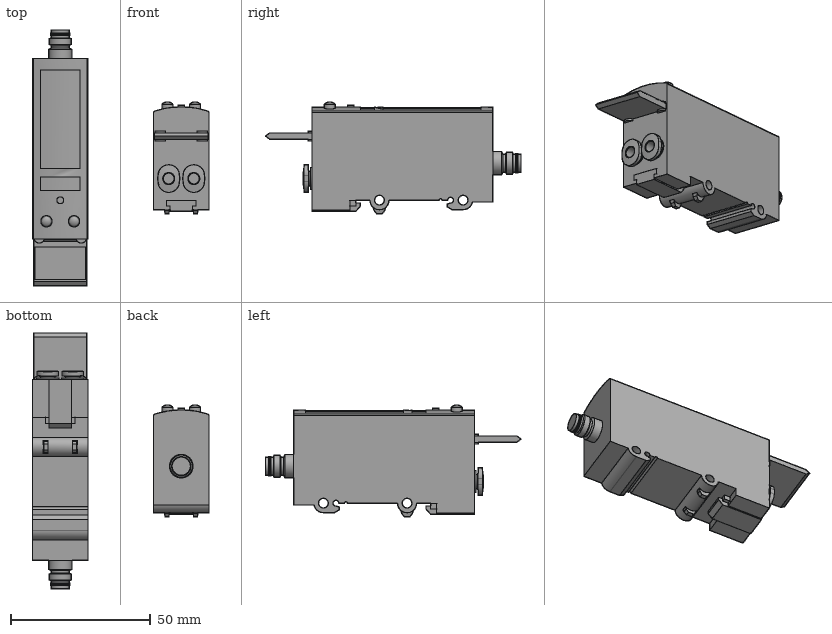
import cadquery as cq
import math


WIDTH = 20.0
LENGTH = 65.0
CROWN_Z = 36.9
SHOULDER_Z = 35.5
SIDE_Z = 35.0
BEVEL = 0.5
FRONT_BLOCK_LENGTH = 13.6
BELLY_Z = 3.4
REAR_Z = 2.8

FOOT_DIAMETER = 6.9
FOOT_HOLE_DIAMETER = 3.4
FOOT_Z = FOOT_DIAMETER / 2
REAR_FOOT_Y = 54.3
MIDDLE_FOOT_Y = 24.3
HOOK_HEEL_Y = 50.4
HOOK_TIP_Y = 48.6
HOOK_TIP_LOW_Z = 1.0
HOOK_TIP_HIGH_Z = 2.1
RAIL_SLOT_Y = 49.8
RAIL_SLOT_DIAMETER = 2.0
NOTCH_Y = 46.2
NOTCH_DIAMETER = 1.0

WEDGE_INNER_X = 4.3
WEDGE_OUTER_X = 6.25
WEDGE_TIP_OUTER_X = 5.8
WEDGE_BOTTOM_Z = -1.5
WEDGE_KNEE_Z = -0.3
WEDGE_ROOT_Z = 0.8
WEDGE_BOTTOM_HALF = 1.0
WEDGE_KNEE_HALF = 1.9
WEDGE_ROOT_HALF = 2.3

RECESS_WIDTH = 14.2
RECESS_DEPTH = 0.3
RECESSES = [(25.5, 60.7), (17.5, 22.4)]
LAMP_DIAMETER = 2.5
LAMP_Y = 14.0
LAMP_TOP_Z = 37.6
BUTTON_DIAMETER = 4.0
BUTTON_X = 5.0
BUTTON_Y = 6.4
BUTTON_RIM_Z = 37.9
BUTTON_BEVEL = 0.3
BUTTON_TOP_Z = 38.8

FLAP_WIDTH = 19.1
FLAP_THICKNESS = 2.3
FLAP_REACH = 16.7
FLAP_POINT_LENGTH = 1.6
FLAP_Z = 26.5
LABEL_WIDTH = 18.0
LABEL_START = 2.8
LABEL_END = 14.5
LABEL_DEPTH = 0.1
ROOT_BEVELS = [(0.8, 0.0), (0.55, 0.1), (0.3, 0.3), (0.0, 0.6)]
HINGE_DIAMETER = 3.9
HINGE_X = 7.5
HINGE_Y = 0.55
HINGE_HEIGHT = 3.6

PORT_X = 4.5
PORT_Z = 11.2
PORT_BORE_DIAMETER = 3.9
PORT_MOUTH_DIAMETER = 4.3
PORT_BORE_DEPTH = 5.5
PORT_COLLARS = [(8.0, 0.0, 0.55), (5.2, 0.55, 1.0), (5.8, 1.0, 1.3)]
PORT_FLANGE_WIDTH = 7.7
PORT_FLANGE_HEIGHT = 9.9
PORT_FLANGE_BACK = 1.3
PORT_FLANGE_EDGE = 2.8
PORT_FLANGE_FRONT = 3.1

CONNECTOR_Z = 16.7
BASE_DIAMETER = 8.5
COLLAR_DIAMETER = 8.0
RING_DIAMETER = 6.9
STEM_DIAMETER = 6.5
BASE_END = 3.2
BASE_BEVEL_END = 3.7
COLLAR_BEVEL_START = 4.5
COLLAR_START = 5.0
COLLAR_END = 7.1
COLLAR_BEVEL_END = 7.35
RINGS = [(8.2, 8.5), (8.8, 9.1)]
CONNECTOR_LENGTH = 10.2

SLIDE_WIDTH = 10.5
SLIDE_NECK_WIDTH = 8.0
SLIDE_STEP_Z = 1.4
SLIDE_BOTTOM_Z = -0.55
SLIDE_WIDE_LENGTH = 15.8
LATCH_TIP_Y = 17.5
LATCH_TOP_Z = 2.5
LATCH_TIP_Z = 1.3


def extrude_along_x(profile_yz, x_start, x_end):
    """Solid from a closed sketch drawn on the YZ plane."""
    return profile_yz.extrude(x_end - x_start).translate((x_start, 0, 0))


def box_between(x_range, y_range, z_range):
    size = [b - a for a, b in (x_range, y_range, z_range)]
    corner = (x_range[0], y_range[0], z_range[0])
    return cq.Workplane("XY").box(*size, centered=False).translate(corner)


def lid_section(drop=0.0):
    """Cross-section of the housing under its arch, lowered by `drop`."""
    half = WIDTH / 2
    return (
        cq.Workplane("XZ")
        .moveTo(-half, -drop)
        .lineTo(-half, SIDE_Z - drop)
        .lineTo(-half + BEVEL, SHOULDER_Z - drop)
        .threePointArc((0, CROWN_Z - drop), (half - BEVEL, SHOULDER_Z - drop))
        .lineTo(half, SIDE_Z - drop)
        .lineTo(half, -drop)
        .close()
    )


def side_profile():
    """Side outline of the housing with the hooked rear foot."""
    foot_radius = FOOT_DIAMETER / 2
    heel_start_y = REAR_FOOT_Y + math.sqrt(foot_radius**2 - (FOOT_Z - REAR_Z) ** 2)
    diagonal = foot_radius * math.sqrt(0.5)
    slot_radius = RAIL_SLOT_DIAMETER / 2
    return (
        cq.Workplane("YZ")
        .moveTo(0, 0)
        .lineTo(0, CROWN_Z)
        .lineTo(LENGTH, CROWN_Z)
        .lineTo(LENGTH, REAR_Z)
        .lineTo(heel_start_y, REAR_Z)
        .threePointArc((REAR_FOOT_Y + diagonal, FOOT_Z - diagonal), (REAR_FOOT_Y, 0))
        .lineTo(HOOK_HEEL_Y, 0)
        .lineTo(HOOK_TIP_Y, HOOK_TIP_LOW_Z)
        .lineTo(HOOK_TIP_Y, HOOK_TIP_HIGH_Z)
        .lineTo(RAIL_SLOT_Y, FOOT_Z - slot_radius)
        .threePointArc((RAIL_SLOT_Y + slot_radius, FOOT_Z), (RAIL_SLOT_Y, FOOT_Z + slot_radius))
        .threePointArc(
            (RAIL_SLOT_Y - slot_radius * math.sqrt(0.5), FOOT_Z + slot_radius * math.sqrt(0.5)),
            (RAIL_SLOT_Y - slot_radius, BELLY_Z),
        )
        .lineTo(FRONT_BLOCK_LENGTH, BELLY_Z)
        .lineTo(FRONT_BLOCK_LENGTH, 0)
        .close()
    )


def cylinder_along_x(y, z, diameter):
    sketch = cq.Workplane("YZ").center(y, z).circle(diameter / 2)
    return extrude_along_x(sketch, -WIDTH / 2, WIDTH / 2)


def make_shell():
    shell = extrude_along_x(side_profile(), -WIDTH / 2, WIDTH / 2)
    shell = shell.intersect(lid_section().extrude(-LENGTH))
    shell = shell.union(cylinder_along_x(MIDDLE_FOOT_Y, FOOT_Z, FOOT_DIAMETER))
    for foot_y in (REAR_FOOT_Y, MIDDLE_FOOT_Y):
        shell = shell.cut(cylinder_along_x(foot_y, FOOT_Z, FOOT_HOLE_DIAMETER))
    return shell.cut(cylinder_along_x(NOTCH_Y, BELLY_Z, NOTCH_DIAMETER))


def make_wedge():
    """Tapered wedge on the +X side of the middle foot."""
    outline = [
        (-WEDGE_ROOT_HALF, WEDGE_ROOT_Z),
        (-WEDGE_KNEE_HALF, WEDGE_KNEE_Z),
        (-WEDGE_BOTTOM_HALF, WEDGE_BOTTOM_Z),
        (WEDGE_BOTTOM_HALF, WEDGE_BOTTOM_Z),
        (WEDGE_KNEE_HALF, WEDGE_KNEE_Z),
        (WEDGE_ROOT_HALF, WEDGE_ROOT_Z),
    ]
    sketch = cq.Workplane("YZ").center(MIDDLE_FOOT_Y, 0).polyline(outline).close()
    wedge = extrude_along_x(sketch, WEDGE_INNER_X, WEDGE_OUTER_X)
    slope = (
        cq.Workplane("XZ")
        .polyline([
            (WEDGE_INNER_X, WEDGE_ROOT_Z),
            (WEDGE_INNER_X, WEDGE_BOTTOM_Z),
            (WEDGE_TIP_OUTER_X, WEDGE_BOTTOM_Z),
            (WEDGE_OUTER_X, WEDGE_ROOT_Z),
        ])
        .close()
        .extrude(-LENGTH)
    )
    return wedge.intersect(slope)


def make_lid_recesses():
    """Shallow windows whose floors follow the arch."""
    above_floor = box_between((-WIDTH, WIDTH), (0, LENGTH), (0, CROWN_Z))
    above_floor = above_floor.cut(lid_section(RECESS_DEPTH).extrude(-LENGTH))
    half = RECESS_WIDTH / 2
    windows = cq.Workplane("XY")
    for start_y, end_y in RECESSES:
        windows = windows.add(box_between((-half, half), (start_y, end_y), (SIDE_Z, CROWN_Z)))
    return windows.combine().intersect(above_floor)


def make_lamp():
    sketch = cq.Workplane("XY").workplane(offset=SIDE_Z).center(0, LAMP_Y)
    return sketch.circle(LAMP_DIAMETER / 2).extrude(LAMP_TOP_Z - SIDE_Z)


def make_button(x):
    """Push button with a bevelled rim and a domed top."""
    radius = BUTTON_DIAMETER / 2
    dome_radius = radius - BUTTON_BEVEL
    dome_base_z = BUTTON_RIM_Z + BUTTON_BEVEL
    dome_height = BUTTON_TOP_Z - dome_base_z
    sphere_radius = (dome_radius**2 + dome_height**2) / (2 * dome_height)
    mid_r = dome_radius / 2
    mid_z = BUTTON_TOP_Z - sphere_radius + math.sqrt(sphere_radius**2 - mid_r**2)
    profile = (
        cq.Workplane("XZ")
        .moveTo(0, SIDE_Z)
        .lineTo(radius, SIDE_Z)
        .lineTo(radius, BUTTON_RIM_Z)
        .lineTo(dome_radius, dome_base_z)
        .threePointArc((mid_r, mid_z), (0, BUTTON_TOP_Z))
        .close()
    )
    return profile.revolve(360, (0, 0, 0), (0, 1, 0)).translate((x, BUTTON_Y, 0))


def make_root_groove(top_z):
    """Bevelled groove between the hinge bosses, where the flap meets the front face."""
    outline = [(-reach, top_z - drop) for reach, drop in ROOT_BEVELS]
    sketch = cq.Workplane("YZ").polyline(outline + [(0, top_z)]).close()
    return extrude_along_x(sketch, -HINGE_X, HINGE_X)


def make_flap():
    """Pointed label flap with a shallow label field on top."""
    half_thickness = FLAP_THICKNESS / 2
    shoulder_y = FLAP_POINT_LENGTH - FLAP_REACH
    outline = [
        (0, -half_thickness),
        (shoulder_y, -half_thickness),
        (-FLAP_REACH, 0),
        (shoulder_y, half_thickness),
        (0, half_thickness),
    ]
    sketch = cq.Workplane("YZ").center(0, FLAP_Z).polyline(outline).close()
    flap = extrude_along_x(sketch, -FLAP_WIDTH / 2, FLAP_WIDTH / 2)
    top_z = FLAP_Z + half_thickness
    label = box_between(
        (-LABEL_WIDTH / 2, LABEL_WIDTH / 2),
        (-LABEL_END, -LABEL_START),
        (top_z - LABEL_DEPTH, top_z),
    )
    return flap.cut(label).cut(make_root_groove(top_z))


def make_hinge(x):
    sketch = cq.Workplane("XY").center(x, HINGE_Y).circle(HINGE_DIAMETER / 2)
    return sketch.extrude(HINGE_HEIGHT).translate((0, 0, FLAP_Z - HINGE_HEIGHT / 2))


def make_port_flange(x):
    """Oval flange with a slightly conical front."""
    slot = (
        cq.Workplane("XZ")
        .center(x, PORT_Z)
        .slot2D(PORT_FLANGE_HEIGHT, PORT_FLANGE_WIDTH, 90)
        .extrude(PORT_FLANGE_FRONT)
    )
    mouth_radius = PORT_MOUTH_DIAMETER / 2
    end_radius = PORT_FLANGE_HEIGHT / 2
    cone = (
        cq.Workplane("XY")
        .polyline([
            (0, -PORT_FLANGE_BACK),
            (end_radius, -PORT_FLANGE_BACK),
            (end_radius, -PORT_FLANGE_EDGE),
            (mouth_radius, -PORT_FLANGE_FRONT),
            (0, -PORT_FLANGE_FRONT),
        ])
        .close()
        .revolve(360, (0, 0, 0), (0, 1, 0))
        .translate((x, 0, PORT_Z))
    )
    return slot.intersect(cone)


def make_port(x):
    port = make_port_flange(x)
    for diameter, start, end in PORT_COLLARS:
        plane = cq.Workplane("XZ").workplane(offset=start).center(x, PORT_Z)
        port = port.union(plane.circle(diameter / 2).extrude(end - start))
    return port


def make_port_bore(x):
    """Blind bore with a bevelled mouth."""
    bore_radius = PORT_BORE_DIAMETER / 2
    mouth_radius = PORT_MOUTH_DIAMETER / 2
    bevel_end_y = mouth_radius - bore_radius - PORT_FLANGE_FRONT
    floor_y = PORT_BORE_DEPTH - PORT_FLANGE_FRONT
    return (
        cq.Workplane("XY")
        .polyline([
            (0, -PORT_FLANGE_FRONT),
            (mouth_radius, -PORT_FLANGE_FRONT),
            (bore_radius, bevel_end_y),
            (bore_radius, floor_y),
            (0, floor_y),
        ])
        .close()
        .revolve(360, (0, 0, 0), (0, 1, 0))
        .translate((x, 0, PORT_Z))
    )


def make_connector():
    """Turned plug on the rear face."""
    base_r = BASE_DIAMETER / 2
    collar_r = COLLAR_DIAMETER / 2
    stem_r = STEM_DIAMETER / 2
    ring_r = RING_DIAMETER / 2
    outline = [
        (0, 0),
        (base_r, 0),
        (base_r, BASE_END),
        (stem_r, BASE_BEVEL_END),
        (stem_r, COLLAR_BEVEL_START),
        (collar_r, COLLAR_START),
        (collar_r, COLLAR_END),
        (stem_r, COLLAR_BEVEL_END),
    ]
    for ring_start, ring_end in RINGS:
        outline += [(stem_r, ring_start), (ring_r, ring_start), (ring_r, ring_end), (stem_r, ring_end)]
    outline += [(stem_r, CONNECTOR_LENGTH), (0, CONNECTOR_LENGTH)]
    plug = cq.Workplane("XY").polyline(outline).close().revolve(360, (0, 0, 0), (0, 1, 0))
    return plug.translate((0, LENGTH, CONNECTOR_Z))


def make_slide():
    """T-shaped slide with a latch at its rear end."""
    wide = box_between(
        (-SLIDE_WIDTH / 2, SLIDE_WIDTH / 2), (0, SLIDE_WIDE_LENGTH), (SLIDE_STEP_Z, BELLY_Z)
    )
    neck_outline = [
        (0, SLIDE_BOTTOM_Z),
        (SLIDE_WIDE_LENGTH, SLIDE_BOTTOM_Z),
        (LATCH_TIP_Y, LATCH_TIP_Z),
        (LATCH_TIP_Y, LATCH_TOP_Z),
        (0, LATCH_TOP_Z),
    ]
    sketch = cq.Workplane("YZ").polyline(neck_outline).close()
    neck = extrude_along_x(sketch, -SLIDE_NECK_WIDTH / 2, SLIDE_NECK_WIDTH / 2)
    return wide.union(neck)


def make_housing(slide):
    housing = make_shell().cut(make_lid_recesses())
    wedge = make_wedge()
    housing = housing.union(wedge).union(wedge.mirror("YZ"))
    housing = housing.union(make_lamp()).union(make_flap()).union(make_connector())
    for side in (-1, 1):
        housing = housing.union(make_button(side * BUTTON_X))
        housing = housing.union(make_hinge(side * HINGE_X))
        housing = housing.union(make_port(side * PORT_X))
        housing = housing.cut(make_port_bore(side * PORT_X))
    return housing.cut(slide)


rail_slide = make_slide()
housing = make_housing(rail_slide)

result = cq.Compound.makeCompound([housing.solids().val(), rail_slide.solids().val()])